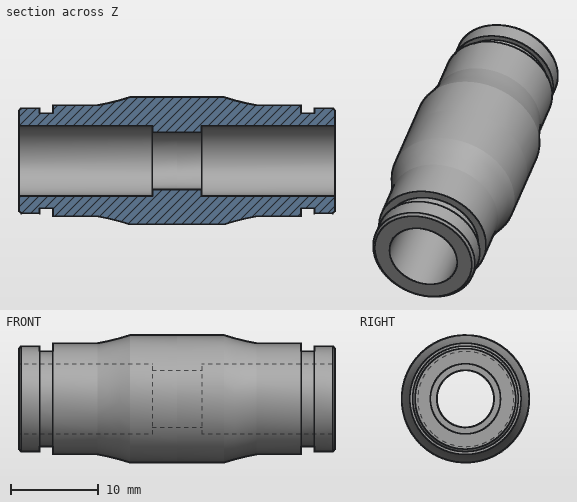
import cadquery as cq

length = 36.0
half_length = length / 2

collar_end = 2.38
groove_end = 3.9
sleeve_end = 8.93
shoulder_end = 12.67
socket_depth = 15.2

collar_radius = 6.0
groove_radius = 5.45
sleeve_radius = 6.35
centre_radius = 7.27
socket_radius = 4.0
bore_radius = 3.25

collar_chamfer = 0.3

shoulder_mid = (sleeve_end + shoulder_end) / 2
shoulder_sag = 0.07
shoulder_mid_radius = (sleeve_radius + centre_radius) / 2 - shoulder_sag


def half_fitting():
    """Revolve the half from the end face at x = 0 to the mid-plane."""
    profile = (
        cq.Workplane("XY")
        .moveTo(0, socket_radius)
        .lineTo(0, collar_radius - collar_chamfer)
        .lineTo(collar_chamfer, collar_radius)
        .lineTo(collar_end, collar_radius)
        .lineTo(collar_end, groove_radius)
        .lineTo(groove_end, groove_radius)
        .lineTo(groove_end, sleeve_radius)
        .lineTo(sleeve_end, sleeve_radius)
        .threePointArc((shoulder_mid, shoulder_mid_radius), (shoulder_end, centre_radius))
        .lineTo(half_length, centre_radius)
        .lineTo(half_length, bore_radius)
        .lineTo(socket_depth, bore_radius)
        .lineTo(socket_depth, socket_radius)
        .close()
    )
    return profile.revolve(360, (0, 0, 0), (1, 0, 0))


left_half = half_fitting().translate((-half_length, 0, 0))
right_half = left_half.mirror("YZ")
result = left_half.union(right_half)